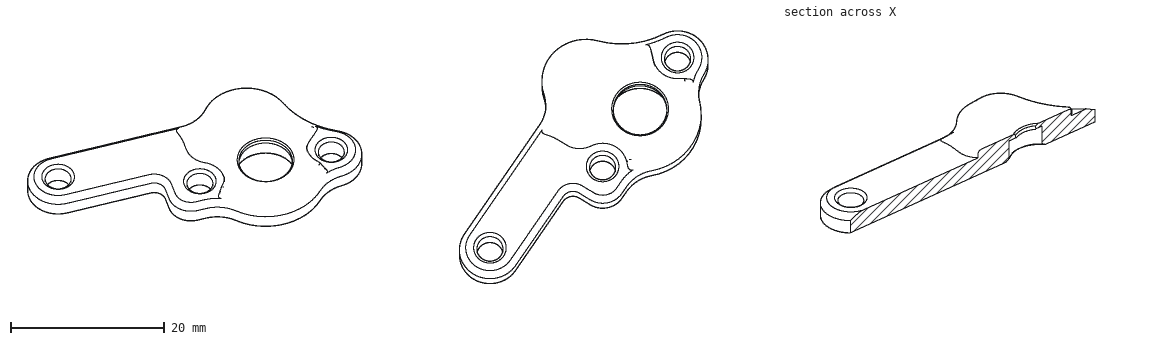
import cadquery as cq
import math

plate_height = 4.0
wall_height = 2.0
bevel = plate_height - wall_height
pad_height = 2.8
edge_round = 0.45

bore_dia = 7.0
bore_chamfer = 0.2
pocket_dia = 8.2
pocket_chamfer = 0.4
lip_height = 0.8
screw_dia = 3.4
screw_chamfer = 0.45

boss_radius = 4.0
main_radius = 8.0
lobe_radius = 5.77
lobe_centre = (-8.4, 0)
boss_offset = 9.0
top_screw = (0, boss_offset)
side_screw = (0, -boss_offset)
arm_screw = (-6.2, -26.45)
arm_left = arm_screw[0] - boss_radius
arm_right = arm_screw[0] + boss_radius

upper_blend = 11.5
side_blend = 5.0
shoulder_right = 4.0
shoulder_bottom = -13.5
shoulder_radius = 3.0
armpit_radius = 1.5

pad_radius = 3.2
exit_angle = 45
step_y = -9.05
flare_start_x = -6.8
flare_radius = 6.35
flare_angle = 35
step_blend = 3.15
overrun = 13

tolerance = 0.005


def towards(start, target, distance):
    """Point at a distance from start, in the direction of target."""
    dx = target[0] - start[0]
    dy = target[1] - start[1]
    length = math.hypot(dx, dy)
    return (start[0] + dx * distance / length, start[1] + dy * distance / length)


def outside_centre(c1, r1, c2, r2):
    """Point at r1 from c1 and r2 from c2, on the left going from c1 to c2."""
    dx = c2[0] - c1[0]
    dy = c2[1] - c1[1]
    gap = math.hypot(dx, dy)
    along = (gap**2 + r1**2 - r2**2) / (2 * gap)
    across = math.sqrt(r1**2 - along**2)
    return (c1[0] + (along * dx - across * dy) / gap, c1[1] + (along * dy + across * dx) / gap)


def arc(path, end, centre, radius, side):
    """Add an arc to end, bulging from its centre towards the point side."""
    return path.threePointArc(towards(centre, side, radius), end)


def midpoint(p, q):
    return ((p[0] + q[0]) / 2, (p[1] + q[1]) / 2)


def blend(path, start, end, centre, radius):
    """Add a minor arc from start to end about its centre."""
    return arc(path, end, centre, radius, midpoint(start, end))


def make_outline():
    origin = (0, 0)
    upper_c = outside_centre(lobe_centre, lobe_radius + upper_blend, top_screw, boss_radius + upper_blend)
    right_c = outside_centre(top_screw, boss_radius + side_blend, origin, main_radius + side_blend)
    low_x = shoulder_right + side_blend
    low_c = (low_x, -math.sqrt((main_radius + side_blend)**2 - low_x**2))
    left_x = arm_left - side_blend
    left_drop = math.sqrt((lobe_radius + side_blend)**2 - (left_x - lobe_centre[0])**2)
    left_c = (left_x, lobe_centre[1] - left_drop)

    lobe_low = towards(lobe_centre, left_c, lobe_radius)
    lobe_high = towards(lobe_centre, upper_c, lobe_radius)
    boss_left = towards(top_screw, upper_c, boss_radius)
    boss_right = towards(top_screw, right_c, boss_radius)
    main_high = towards(origin, right_c, main_radius)
    main_low = towards(origin, low_c, main_radius)
    shoulder_top = (shoulder_right, low_c[1])
    shoulder_c = (shoulder_right - shoulder_radius, shoulder_bottom + shoulder_radius)
    shoulder_side = (shoulder_right, shoulder_c[1])
    shoulder_end = (shoulder_c[0], shoulder_bottom)
    armpit_c = (arm_right + armpit_radius, shoulder_bottom - armpit_radius)
    armpit_start = (armpit_c[0], shoulder_bottom)
    armpit_end = (arm_right, armpit_c[1])

    path = cq.Workplane("XY").moveTo(arm_left, arm_screw[1]).lineTo(arm_left, left_c[1])
    path = blend(path, (arm_left, left_c[1]), lobe_low, left_c, side_blend)
    path = path.threePointArc((lobe_centre[0] - lobe_radius, lobe_centre[1]), lobe_high)
    path = blend(path, lobe_high, boss_left, upper_c, upper_blend)
    path = path.threePointArc((0, boss_offset + boss_radius), boss_right)
    path = blend(path, boss_right, main_high, right_c, side_blend)
    path = path.threePointArc((main_radius, 0), main_low)
    path = blend(path, main_low, shoulder_top, low_c, side_blend)
    path = path.lineTo(*shoulder_side)
    path = blend(path, shoulder_side, shoulder_end, shoulder_c, shoulder_radius)
    path = path.lineTo(*armpit_start)
    path = blend(path, armpit_start, armpit_end, armpit_c, armpit_radius)
    path = path.lineTo(arm_right, arm_screw[1])
    return path.threePointArc((arm_screw[0], arm_screw[1] - boss_radius), (arm_left, arm_screw[1])).close()


def step_exit():
    """Where a round step wall turns straight, and the far end of that tangent, from its screw."""
    angle = math.radians(exit_angle)
    tangent_x = pad_radius * math.cos(angle)
    tangent_drop = pad_radius * math.sin(angle)
    far_x = tangent_x + overrun * math.sin(angle)
    far_rise = overrun * math.cos(angle) - tangent_drop
    return tangent_x, tangent_drop, far_x, far_rise


def make_top_cutter():
    """Round-ended pocket around the top screw, open towards +Y."""
    pad = cq.Workplane("XY").workplane(offset=pad_height)
    far_side = boss_offset + overrun
    tangent_x, tangent_drop, far_x, far_rise = step_exit()
    path = pad.moveTo(-tangent_x, boss_offset - tangent_drop)
    path = path.threePointArc((0, boss_offset - pad_radius), (tangent_x, boss_offset - tangent_drop))
    path = path.lineTo(far_x, boss_offset + far_rise).lineTo(far_x, far_side)
    path = path.lineTo(-far_x, far_side).lineTo(-far_x, boss_offset + far_rise).close()
    return path.extrude(plate_height)


def make_arm_cutter():
    """Pocket over the arm, with a bay around the side screw."""
    reach = pad_radius + step_blend
    rise = step_y + step_blend - side_screw[1]
    blend_c = (-math.sqrt(reach**2 - rise**2), step_y + step_blend)
    blend_start = (blend_c[0], step_y)
    blend_end = towards(side_screw, blend_c, pad_radius)
    far_end = arm_screw[1] - overrun
    path = cq.Workplane("XY").workplane(offset=pad_height).moveTo(-overrun, far_end)
    flare_c = (flare_start_x, step_y - flare_radius)
    flare_reach = flare_radius * math.sin(math.radians(flare_angle))
    flare_end = (flare_start_x - flare_reach, flare_c[1] + math.sqrt(flare_radius**2 - flare_reach**2))
    path = path.lineTo(-overrun, flare_end[1]).lineTo(*flare_end)
    path = blend(path, flare_end, (flare_start_x, step_y), flare_c, flare_radius)
    path = path.lineTo(*blend_start)
    path = blend(path, blend_start, blend_end, blend_c, step_blend)
    tangent_x, tangent_drop, far_x, far_rise = step_exit()
    tangent_point = (tangent_x, side_screw[1] + tangent_drop)
    path = path.threePointArc((0, side_screw[1] + pad_radius), tangent_point)
    path = path.lineTo(far_x, side_screw[1] - far_rise).lineTo(far_x, far_end).close()
    return path.extrude(plate_height)


def drill(body, centre, diameter, chamfer, top):
    """Through hole with a chamfered upper rim."""
    radius = diameter / 2
    profile = cq.Workplane("XZ").polyline([
        (0, 0), (radius, 0), (radius, top - chamfer), (radius + chamfer, top), (0, top),
    ]).close()
    cutter = profile.revolve(360, (0, 0, 0), (0, 1, 0))
    return body.cut(cutter.translate((centre[0], centre[1], 0)))


def cut_pocket(body):
    """Wider bore from below, leaving a lip at the top and a chamfered mouth."""
    radius = pocket_dia / 2
    mouth = radius + pocket_chamfer
    depth = plate_height - lip_height
    profile = cq.Workplane("XZ").polyline([
        (0, 0), (mouth, 0), (radius, pocket_chamfer), (radius, depth), (0, depth),
    ]).close()
    return body.cut(profile.revolve(360, (0, 0, 0), (0, 1, 0)))


def round_rim(body):
    """Round the rim of the raised body and the step corners that run down its bevel."""
    rim = body.faces(">Z").edges()
    corners = body.edges().filter(is_step_corner)
    return rim.add(corners).fillet(edge_round)


def is_step_corner(edge):
    """True for an edge that climbs from a pad to the top face."""
    box = edge.BoundingBox()
    return abs(box.zmin - pad_height) < tolerance and abs(box.zmax - plate_height) < tolerance


body = make_outline().extrude(plate_height).faces(">Z").chamfer(bevel)
body = body.cut(make_top_cutter()).cut(make_arm_cutter())
body = round_rim(body)

body = drill(body, (0, 0), bore_dia, bore_chamfer, plate_height)
body = cut_pocket(body)
for screw in (top_screw, side_screw, arm_screw):
    body = drill(body, screw, screw_dia, screw_chamfer, pad_height)

result = body